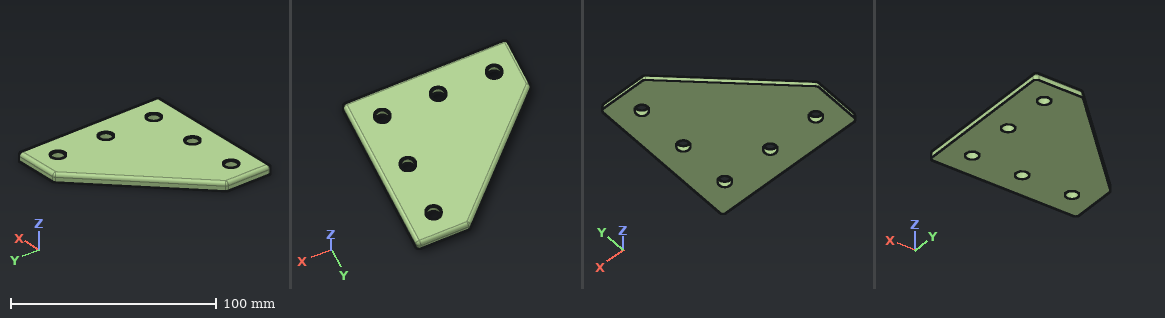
import cadquery as cq

side = 88.5
thickness = 5.0
short_side = 28.4
edge_radius = 2.0
hole_diameter = 7.0
hole_pitch = 30.0
hole_margin = 15.0
hole_chamfer = 0.5

outline = [
    (0, 0),
    (side, 0),
    (side, side),
    (side - short_side, side),
    (0, short_side),
]
plate = cq.Workplane("XY").polyline(outline).close().extrude(thickness)
plate = plate.edges("|Z").fillet(edge_radius)
plate = plate.faces(">Z").edges().fillet(edge_radius)

corner_x = side - hole_margin
corner_y = hole_margin
hole_centres = [(corner_x, corner_y)]
for step in (1, 2):
    hole_centres.append((corner_x - step * hole_pitch, corner_y))
    hole_centres.append((corner_x, corner_y + step * hole_pitch))


def hole_cutter(centre):
    """Through hole with a chamfered mouth on the top face."""
    radius = hole_diameter / 2
    bore = cq.Workplane("XY").center(*centre).circle(radius).extrude(thickness)
    mouth = (
        cq.Workplane("XY", origin=(0, 0, thickness - hole_chamfer))
        .center(*centre)
        .circle(radius)
        .workplane(offset=hole_chamfer)
        .circle(radius + hole_chamfer)
        .loft()
    )
    return bore.union(mouth)


for hole_centre in hole_centres:
    plate = plate.cut(hole_cutter(hole_centre))

result = plate